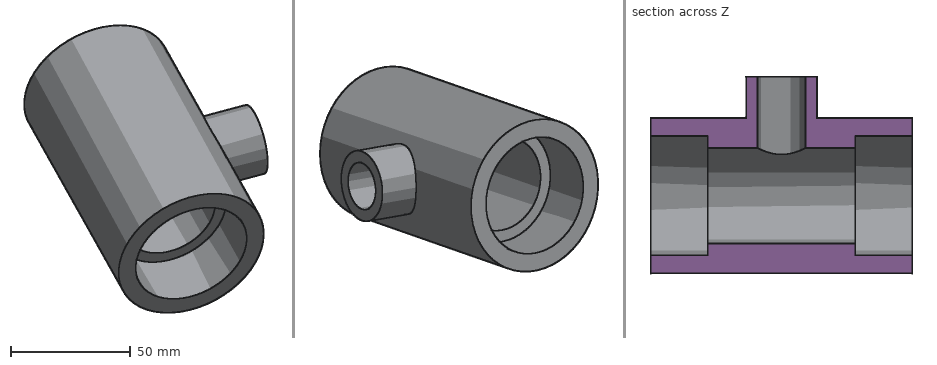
import cadquery as cq

length = 110.0
outer_diameter = 65.5
bore_diameter = 40.0
socket_diameter = 50.0
socket_depth = 24.0

branch_diameter = 30.0
branch_bore_diameter = 20.0
overall_width = 82.7
branch_reach = overall_width - outer_diameter / 2


def x_cylinder(diameter, start, depth):
    """Cylinder along X from the given start position."""
    return cq.Workplane("YZ", origin=(start, 0, 0)).circle(diameter / 2).extrude(depth)


def y_cylinder(diameter):
    """Cylinder from the pipe axis out to the branch end."""
    return cq.Workplane("XZ").circle(diameter / 2).extrude(-branch_reach)


body = x_cylinder(outer_diameter, -length / 2, length).union(y_cylinder(branch_diameter))

body = body.cut(x_cylinder(bore_diameter, -length / 2, length))
body = body.cut(y_cylinder(branch_bore_diameter))

for socket_start in (-length / 2, length / 2 - socket_depth):
    body = body.cut(x_cylinder(socket_diameter, socket_start, socket_depth))

result = body